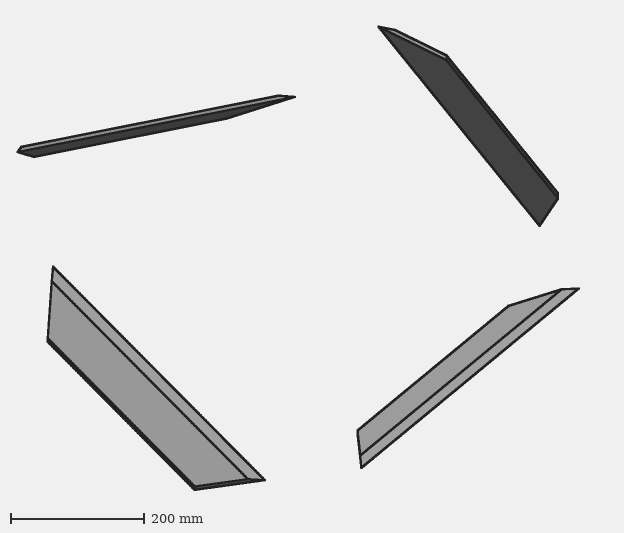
import cadquery as cq
import math

length = 488.0
width = 74.5
slope = math.radians(30)
flat_width = 18.0

height = width * math.tan(slope)
edge_height = flat_width * math.tan(slope)


def sloping_plank():
    """Plank of constant section, centred on Y, rising toward +X."""
    section = [
        (0, 0),
        (width, height),
        (width - flat_width, height),
        (0, edge_height),
    ]
    return cq.Workplane("XZ").polyline(section).close().extrude(length / 2, both=True)


def mitred_outline():
    """Vertical prism whose ends are cut at 45 degrees in plan."""
    long_half = length / 2
    short_half = long_half - width
    plan = [
        (0, -short_half),
        (width, -long_half),
        (width, long_half),
        (0, short_half),
    ]
    return cq.Workplane("XY").polyline(plan).close().extrude(height)


result = sloping_plank().intersect(mitred_outline())